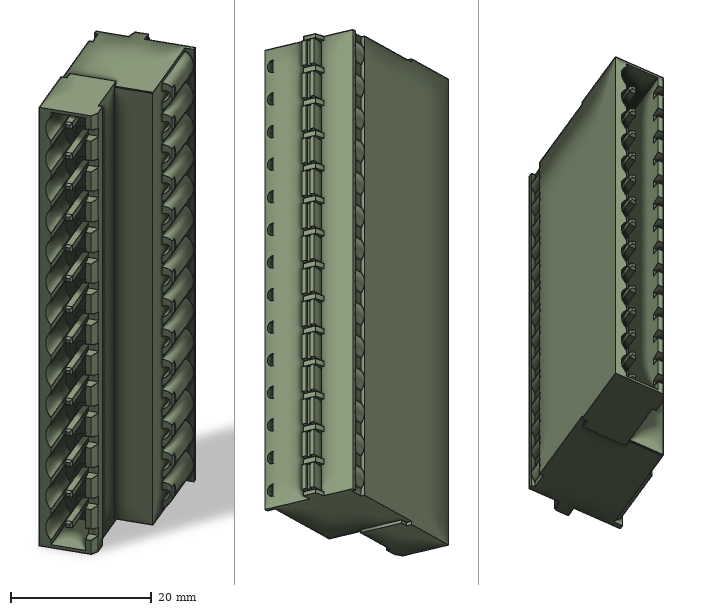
import cadquery as cq


pole_count = 14
pole_pitch = 5.0
total_length = 71.3
mid_z = total_length / 2
pole_heights = [mid_z + (i - (pole_count - 1) / 2) * pole_pitch for i in range(pole_count)]

header_width = 7.85
header_depth = 10.9
latch_overhang = 0.65
latch_depth = 3.15
latch_bevel = 1.1

wall = 0.85
end_wall = 0.5
cavity_depth = 8.55
cavity_left = 1.8
pin_x = 3.85
scallop_radius = 2.85

pin_size = 1.0
pin_tip_size = 0.6
pin_tip_length = 0.5
pin_tip_y = 1.4
socket_radius = 1.4
socket_depth = 0.7

notch_mouth = 1.85
notch_floor = 1.3
notch_depth = 1.3

plug_length = 70.3
plug_width = 13.6
plug_front = 10.1
plug_back = 24.95
end_step_setback = 0.2
end_step_height = 0.1
skirt_width = 0.85
skirt_front = 9.6

total_width = 15.0
flange_thickness = 0.65
guide_start = 14.25
guide_bevel_end = 15.4
guide_bevel_width = 14.75
guide_full_start = 16.4
guide_radius = pole_pitch / 2
guide_axis_x = total_width - guide_radius
guide_bore_radius = 0.9

groove_depth = 0.6
groove_front = 21.9
groove_back = 24.25
bump_height = 3.15

total_depth = 26.95
tab_left = 5.35
tab_right = 7.35
tab_height = 3.8
rib_left = 4.9
rib_back = 26.5
prong_gap = 0.7
tab_slit = 0.2


def box(x0, x1, y0, y1, z0, z1):
    """Block between two opposite corners."""
    return cq.Workplane("XY").box(x1 - x0, y1 - y0, z1 - z0, centered=False).translate((x0, y0, z0))


def centered_box(x0, x1, y0, y1, height, z):
    """Block with its height centred on z."""
    return box(x0, x1, y0, y1, z - height / 2, z + height / 2)


def prism(points, height, z):
    """XY outline extruded along Z, centred on z."""
    return cq.Workplane("XY").polyline(points).close().extrude(height).translate((0, 0, z - height / 2))


def cylinder_y(radius, x, z, y0, y1):
    """Cylinder along Y from y0 to y1."""
    return cq.Workplane("XZ", origin=(x, y0, z)).circle(radius).extrude(y0 - y1)


def merged(shapes):
    """Collect shapes into one solid or set of solids."""
    total = shapes[0]
    for shape in shapes[1:]:
        total = total.union(shape)
    return total


def header_body():
    """Latched outline, rebated at the back of the -X face to take the skirt of the plug."""
    latch_width = header_width + latch_overhang
    outline = [
        (0, 0),
        (header_width, 0),
        (latch_width, latch_bevel),
        (latch_width, latch_depth),
        (header_width, latch_depth),
        (header_width, header_depth),
        (skirt_width, header_depth),
        (skirt_width, skirt_front),
        (0, skirt_front),
    ]
    return prism(outline, total_length, mid_z)


def header_cavity():
    """Pocket open to the front, with one scallop per pole in its left wall."""
    cavity_height = total_length - 2 * end_wall
    cavity = centered_box(
        cavity_left, header_width - wall, 0, cavity_depth, cavity_height, mid_z
    )
    left_half = centered_box(0, pin_x, 0, cavity_depth, cavity_height, mid_z)
    scallops = merged([cylinder_y(scallop_radius, pin_x, z, 0, cavity_depth) for z in pole_heights])
    return cavity.union(scallops.intersect(left_half))


def wall_notch(z):
    """Notch in the front of the right wall, tapering to a narrower floor."""
    return (
        cq.Workplane("YZ", origin=(header_width - wall, 0, z))
        .polyline([
            (0, -notch_mouth / 2),
            (notch_depth, -notch_floor / 2),
            (notch_depth, notch_floor / 2),
            (0, notch_mouth / 2),
        ])
        .close()
        .extrude(wall + latch_overhang)
    )


def contact_pin(z):
    """Square pin with a tapered tip, standing in the cavity and rooted in its floor."""
    shank_start = pin_tip_y + pin_tip_length
    shank = centered_box(
        pin_x - pin_size / 2, pin_x + pin_size / 2, shank_start, header_depth, pin_size, z
    )
    tip = (
        cq.Workplane("XZ", origin=(pin_x, shank_start, z))
        .rect(pin_size, pin_size)
        .workplane(offset=pin_tip_length)
        .rect(pin_tip_size, pin_tip_size)
        .loft()
    )
    return shank.union(tip)


def plug_body():
    """Block whose two ends are set back at the front, with a thin skirt lapping the header."""
    ends = centered_box(0, plug_width, plug_front + end_step_setback, plug_back, plug_length, mid_z)
    middle_length = plug_length - 2 * end_step_height
    middle = centered_box(0, plug_width, plug_front, plug_back, middle_length, mid_z)
    skirt = centered_box(0, skirt_width, skirt_front, plug_back, plug_length, mid_z)
    return ends.union(middle).union(skirt)


def driver_guides():
    """Adjoining rounded guides bulging from the +X face, the flange behind them, and their bores."""
    envelope = prism(
        [
            (plug_width, guide_start),
            (guide_bevel_width, guide_bevel_end),
            (guide_bevel_width, guide_full_start),
            (total_width, guide_full_start),
            (total_width, plug_back),
            (plug_width, plug_back),
        ],
        plug_length,
        mid_z,
    )
    ridges = merged(
        [cylinder_y(guide_radius, guide_axis_x, z, guide_start, plug_back) for z in pole_heights]
    )
    flange = centered_box(
        plug_width, total_width, plug_back - flange_thickness, plug_back, plug_length, mid_z
    )
    bores = merged(
        [cylinder_y(guide_bore_radius, plug_width, z, guide_start, plug_back) for z in pole_heights]
    )
    return ridges.intersect(envelope).union(flange).cut(bores)


def grip_groove():
    """Full-length groove in the -X face, less the rounded bump left at each pole."""
    groove = centered_box(0, groove_depth, groove_front, groove_back, plug_length, mid_z)
    for z in pole_heights:
        bump = (
            cq.Workplane("XZ", origin=(0, groove_front, z))
            .moveTo(groove_depth, -bump_height / 2)
            .threePointArc((0, 0), (groove_depth, bump_height / 2))
            .close()
            .extrude(groove_front - groove_back)
        )
        groove = groove.cut(bump)
    return groove


def release_tab(z):
    """Upright tab whose end is split into two prongs."""
    prong_width = (tab_right - tab_left - prong_gap) / 2
    tab = centered_box(tab_left, tab_right, plug_back, total_depth, tab_height, z)
    split = centered_box(
        tab_left + prong_width, tab_right - prong_width, rib_back, total_depth, tab_height, z
    )
    return tab.cut(split)


def spacer_rib(z0, z1):
    """Rib between tabs with a sloping left side."""
    outline = [
        (rib_left, plug_back),
        (tab_left, rib_back),
        (tab_right, rib_back),
        (tab_right, plug_back),
    ]
    return prism(outline, z1 - z0, (z0 + z1) / 2)


def back_row():
    """Release tabs, with a rib in each gap and a short rib at each end."""
    reach = tab_height / 2 + tab_slit
    plug_bottom = mid_z - plug_length / 2
    plug_top = mid_z + plug_length / 2
    row = [release_tab(z) for z in pole_heights]
    for lower, upper in zip(pole_heights[:-1], pole_heights[1:]):
        row.append(spacer_rib(lower + reach, upper - reach))
    row.append(spacer_rib(plug_bottom, pole_heights[0] - reach))
    row.append(spacer_rib(pole_heights[-1] + reach, plug_top))
    return merged(row)


result = header_body().union(plug_body()).cut(header_cavity())
for z in pole_heights:
    result = result.cut(wall_notch(z))
    result = result.cut(cylinder_y(socket_radius, pin_x, z, cavity_depth, cavity_depth + socket_depth))
    result = result.union(contact_pin(z))

result = result.cut(grip_groove()).union(driver_guides()).union(back_row())